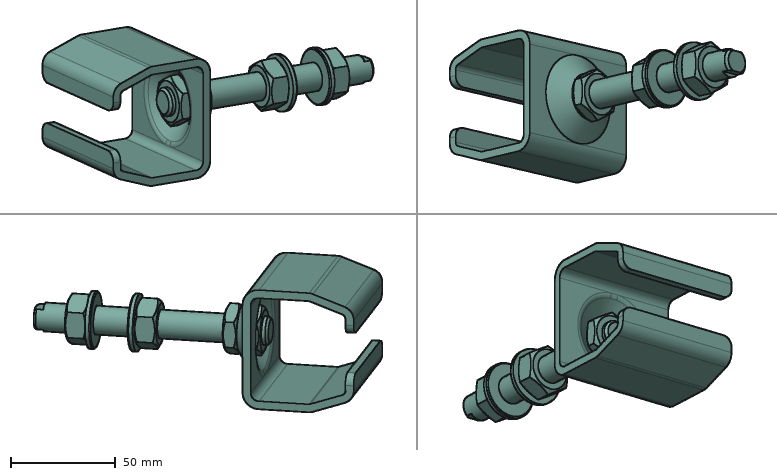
import cadquery as cq
import math


CHANNEL_LENGTH = 65.0
CHANNEL_HEIGHT = 59.5
CHANNEL_DEPTH = 54.5
WALL = 4.0
BACK_BEND_RADIUS = 8.0
SLOPE_BEND_RADIUS = 5.7
LIP_BEND_RADIUS = 6.5
SLOPE_RUN = 21.0
SLOPE_DROP = 7.3
MOUTH_GAP = 20.0
LIP_CORNER_RADIUS = 5.0

DISH_HEIGHT = 7.5
DISH_BASE_RADIUS = 21.6
DISH_TOP_RADIUS = 11.4
DISH_RIM_RADIUS = 20.5
DISH_FLOOR_RADIUS = 10.9
DISH_RIM_FILLET = 4.0

TOTAL_LENGTH = 162.5
STUD_RADIUS = 7.0
STUD_INNER_END = -6.8
STUD_OUTER_END = TOTAL_LENGTH - CHANNEL_DEPTH
STUD_CHAMFER = 1.3
FLAT_SPACING = 10.0
FLAT_LENGTH = 4.5

NUT_ACROSS_FLATS = 22.0
NUT_FACE_RADIUS = 10.0
NUT_CHAMFER_ANGLE = math.radians(30)
HEX_SIDES = 6
JAM_NUT_HEIGHT = 7.2
NUT_HEIGHT = 10.7
WASHER_RADIUS = 14.0
WASHER_HEIGHT = 2.6
WASHER_CHAMFER = 0.6
INNER_WASHER_END = 60.5
CLAMP_GAP = 18.0


def cylinder(radius, start, height):
    """Solid cylinder on the Y axis, from y = start to y = start + height."""
    return cq.Workplane("XZ", origin=(0, start, 0)).circle(radius).extrude(-height)


def revolved(points):
    """Solid turned about the Y axis from (radius, y) points."""
    return cq.Workplane("XY").polyline(points).close().revolve(360, (0, 0, 0), (0, 1, 0))


def closed_channel_outline():
    """Outer outline of the channel in the YZ plane, as if the mouth were closed."""
    top = CHANNEL_HEIGHT / 2
    slope_y = SLOPE_RUN - CHANNEL_DEPTH
    lip_z = top - SLOPE_DROP
    corners = [
        (0, top, BACK_BEND_RADIUS),
        (slope_y, top, SLOPE_BEND_RADIUS),
        (-CHANNEL_DEPTH, lip_z, LIP_BEND_RADIUS),
    ]
    corners += [(y, -z, radius) for y, z, radius in reversed(corners)]
    outline = cq.Wire.makePolygon([cq.Vector(0, y, z) for y, z, _ in corners], close=True)
    for y, z, radius in corners:
        corner = min(outline.Vertices(), key=lambda v: math.hypot(v.Y - y, v.Z - z))
        outline = outline.fillet2D(radius, [corner])
    return outline


def make_channel():
    half_length = CHANNEL_LENGTH / 2
    outer = closed_channel_outline()
    inner = outer.offset2D(-WALL)[0]
    profile = cq.Workplane("YZ").add(outer).add(inner).toPending()
    channel = profile.extrude(half_length, both=True)

    mouth = cq.Workplane("XY").box(CHANNEL_LENGTH, 2 * WALL, MOUTH_GAP)
    channel = channel.cut(mouth.translate((0, -CHANNEL_DEPTH, 0)))
    lip_zone = cq.selectors.BoxSelector(
        (-CHANNEL_LENGTH, -CHANNEL_DEPTH - WALL, -MOUTH_GAP),
        (CHANNEL_LENGTH, -CHANNEL_DEPTH + WALL, MOUTH_GAP),
    )
    channel = channel.edges("|Y").edges(lip_zone).fillet(LIP_CORNER_RADIUS)

    boss = revolved([
        (0, -WALL),
        (DISH_BASE_RADIUS, -WALL),
        (DISH_BASE_RADIUS, 0),
        (DISH_TOP_RADIUS, DISH_HEIGHT),
        (0, DISH_HEIGHT),
    ])
    cavity = revolved([
        (0, -WALL),
        (DISH_RIM_RADIUS, -WALL),
        (DISH_FLOOR_RADIUS, DISH_HEIGHT - WALL),
        (0, DISH_HEIGHT - WALL),
    ])
    channel = channel.union(boss).cut(cavity)
    rim_zone = cq.selectors.BoxSelector(
        (-DISH_RIM_RADIUS, -2 * WALL, -DISH_RIM_RADIUS),
        (DISH_RIM_RADIUS, -WALL / 2, DISH_RIM_RADIUS),
    )
    channel = channel.edges("%CIRCLE").edges(rim_zone).fillet(DISH_RIM_FILLET)
    return channel.cut(cylinder(STUD_RADIUS, -WALL, DISH_HEIGHT + WALL))


def make_stud():
    stud = cylinder(STUD_RADIUS, STUD_INNER_END, STUD_OUTER_END - STUD_INNER_END)
    stud = stud.faces("<Y or >Y").chamfer(STUD_CHAMFER)
    end_zone = cq.Workplane("XY").box(2 * STUD_RADIUS, 2 * FLAT_LENGTH, 2 * STUD_RADIUS)
    tang = cq.Workplane("XY").box(2 * STUD_RADIUS, 2 * FLAT_LENGTH, FLAT_SPACING)
    return stud.cut(end_zone.cut(tang).translate((0, STUD_OUTER_END, 0)))


def make_nut(start, height):
    """Hex nut with corners up and down and both faces chamfered."""
    corner_radius = NUT_ACROSS_FLATS / 2 / math.cos(math.pi / HEX_SIDES)
    chamfer = (corner_radius - NUT_FACE_RADIUS) * math.tan(NUT_CHAMFER_ANGLE)
    end = start + height
    hexagon = (
        cq.Workplane("XZ", origin=(0, start, 0))
        .transformed(rotate=(0, 0, 90))
        .polygon(HEX_SIDES, 2 * corner_radius)
        .extrude(-height)
    )
    turned_blank = revolved([
        (0, start),
        (NUT_FACE_RADIUS, start),
        (corner_radius, start + chamfer),
        (corner_radius, end - chamfer),
        (NUT_FACE_RADIUS, end),
        (0, end),
    ])
    return hexagon.intersect(turned_blank).cut(cylinder(STUD_RADIUS, start, height))


def make_washer(start, chamfered_face):
    """Washer with its rim chamfered on one face, picked by a face selector."""
    disc = cylinder(WASHER_RADIUS, start, WASHER_HEIGHT).faces(chamfered_face).chamfer(WASHER_CHAMFER)
    return disc.cut(cylinder(STUD_RADIUS, start, WASHER_HEIGHT))


channel = make_channel()
stud = make_stud()

jam_nut_starts = [DISH_HEIGHT, DISH_HEIGHT - WALL - JAM_NUT_HEIGHT]
jam_nuts = [make_nut(start, JAM_NUT_HEIGHT) for start in jam_nut_starts]

inner_washer_start = INNER_WASHER_END - WASHER_HEIGHT
outer_washer_start = INNER_WASHER_END + CLAMP_GAP
washer_places = [(inner_washer_start, ">Y"), (outer_washer_start, "<Y")]
washers = [make_washer(start, gap_face) for start, gap_face in washer_places]
clamp_nut_starts = [inner_washer_start - NUT_HEIGHT, outer_washer_start + WASHER_HEIGHT]
clamp_nuts = [make_nut(start, NUT_HEIGHT) for start in clamp_nut_starts]

bodies = [channel, stud, *jam_nuts, *washers, *clamp_nuts]
result = cq.Compound.makeCompound([body.solids().val() for body in bodies])